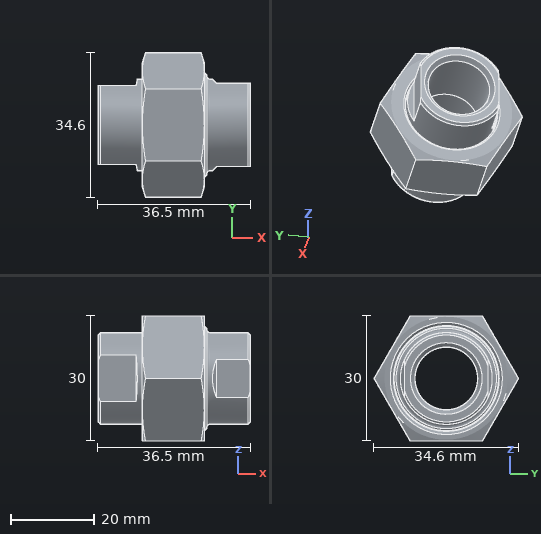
import cadquery as cq
import math


total_length = 36.5
pipe_radius = 22.0 / 2
bore_radius = 14.95 / 2
end_chamfer = 0.6
bore_chamfer = 1.1

nut_start = 10.5
nut_length = 15.0
nut_end = nut_start + nut_length
nut_across_flats = 30.0
nut_corner_radius = nut_across_flats / math.sqrt(3)
nut_face_radius = 14.75
nut_chamfer_angle = math.radians(18)
nut_chamfer_depth = (nut_corner_radius - nut_face_radius) * math.tan(nut_chamfer_angle)
nut_neck_radius = 22.5 / 2
nut_neck_length = 2.92
nut_neck_chamfer = 0.47
nut_socket_radius = 25.35 / 2
nut_socket_mouth_radius = 26.85 / 2
nut_socket_chamfer = nut_socket_mouth_radius - nut_socket_radius

collar_radius = 25.0 / 2
flange_start = nut_start + nut_neck_length
flange_length = 2.92
joint_position = flange_start + flange_length

collar_overhang = 0.5
collar_end = nut_end + collar_overhang
collar_chamfer = 0.47
collar_fillet = 0.8

plain_flat_across = 18.98
plain_flat_length = 9.1
plain_flat_run = 0.3
mating_flat_across = 20.0
mating_flat_length = 8.1
mating_flat_run = pipe_radius - mating_flat_across / 2

cut_margin = 0.35


def revolve_about_x(profile):
    """Revolve an (axial, radial) profile in the XY plane about the X axis."""
    return profile.close().revolve(360, (0, 0, 0), (1, 0, 0))


def cut_wrench_flats(body, end, direction, across, length, run):
    """Cut flats at +Y and -Y, running from the pipe end along the given X direction."""
    half_across = across / 2
    slope = run / (pipe_radius - half_across)
    outer = pipe_radius + cut_margin
    outer_length = length + slope * (outer - half_across)
    for side in (1, -1):
        cutter = (
            cq.Workplane("XY")
            .moveTo(end - direction * cut_margin, side * half_across)
            .lineTo(end + direction * length, side * half_across)
            .lineTo(end + direction * outer_length, side * outer)
            .lineTo(end - direction * cut_margin, side * outer)
            .close()
            .extrude(outer, both=True)
        )
        body = body.cut(cutter)
    return body


def make_plain_tailpiece():
    """Tailpiece at -X, with a flange that the nut pulls against its mate."""
    body = revolve_about_x(
        cq.Workplane("XY")
        .moveTo(0, bore_radius + bore_chamfer)
        .lineTo(0, pipe_radius - end_chamfer)
        .lineTo(end_chamfer, pipe_radius)
        .lineTo(flange_start, pipe_radius)
        .lineTo(flange_start, collar_radius)
        .lineTo(joint_position, collar_radius)
        .lineTo(joint_position, bore_radius)
        .lineTo(bore_chamfer, bore_radius)
    )
    return cut_wrench_flats(body, 0, 1, plain_flat_across, plain_flat_length, plain_flat_run)


def make_mating_tailpiece():
    """Tailpiece at +X, with the collar that enters the nut's socket."""
    fillet_center = (collar_end + collar_fillet, pipe_radius + collar_fillet)
    fillet_reach = collar_fillet * math.sqrt(0.5)
    fillet_middle = (fillet_center[0] - fillet_reach, fillet_center[1] - fillet_reach)
    body = revolve_about_x(
        cq.Workplane("XY")
        .moveTo(joint_position, bore_radius)
        .lineTo(joint_position, collar_radius)
        .lineTo(collar_end - collar_chamfer, collar_radius)
        .lineTo(collar_end, collar_radius - collar_chamfer)
        .lineTo(collar_end, fillet_center[1])
        .threePointArc(fillet_middle, (fillet_center[0], pipe_radius))
        .lineTo(total_length - end_chamfer, pipe_radius)
        .lineTo(total_length, pipe_radius - end_chamfer)
        .lineTo(total_length, bore_radius + bore_chamfer)
        .lineTo(total_length - bore_chamfer, bore_radius)
    )
    return cut_wrench_flats(
        body, total_length, -1, mating_flat_across, mating_flat_length, mating_flat_run
    )


def make_union_nut():
    """Hexagonal nut with coned faces, a narrow neck at -X and a wide socket at +X."""
    hexagon = (
        cq.Workplane("YZ", origin=(nut_start, 0, 0))
        .polygon(6, 2 * nut_corner_radius)
        .extrude(nut_length)
    )
    turned_blank = revolve_about_x(
        cq.Workplane("XY")
        .moveTo(nut_start, nut_neck_radius + nut_neck_chamfer)
        .lineTo(nut_start, nut_face_radius)
        .lineTo(nut_start + nut_chamfer_depth, nut_corner_radius)
        .lineTo(nut_end - nut_chamfer_depth, nut_corner_radius)
        .lineTo(nut_end, nut_face_radius)
        .lineTo(nut_end, nut_socket_mouth_radius)
        .lineTo(nut_end - nut_socket_chamfer, nut_socket_radius)
        .lineTo(flange_start, nut_socket_radius)
        .lineTo(flange_start, nut_neck_radius)
        .lineTo(nut_start + nut_neck_chamfer, nut_neck_radius)
    )
    return hexagon.intersect(turned_blank)


plain_tailpiece = make_plain_tailpiece()
mating_tailpiece = make_mating_tailpiece()
union_nut = make_union_nut()

result = cq.Compound.makeCompound(
    [plain_tailpiece.solids().val(), mating_tailpiece.solids().val(), union_nut.solids().val()]
)